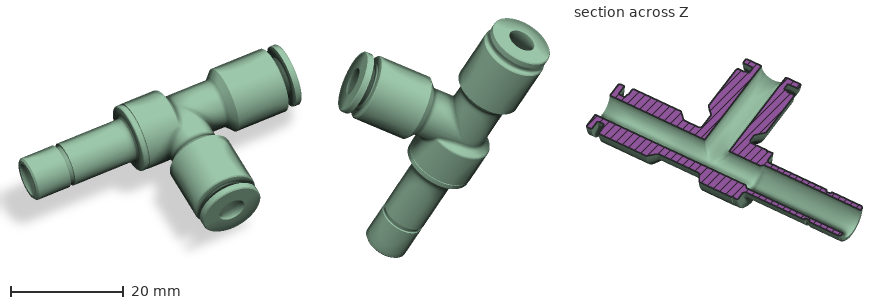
import cadquery as cq


ARM_LENGTH = 22.2
NECK_RADIUS = 4.5
ARM_BODY_RADIUS = 6.0
ARM_BODY_START = 9.5
ARM_BODY_END = 19.5
ARM_BODY_CHAMFER = 0.2
NECK_BLEND_RADIUS = 0.5
ARM_RIM_RADIUS = 4.5
ARM_RIM_END_RADIUS = 4.3
ARM_RIM_HEIGHT = 0.2
SLEEVE_RADIUS = 3.65
SLEEVE_BLEND_RADIUS = 0.2
FLANGE_RADIUS = 5.75
FLANGE_THICKNESS = 1.2
FLANGE_CHAMFER = 0.2

SOCKET_RADIUS = 6.25
SOCKET_CONE_START = 0.5
SOCKET_CONE_END = 1.5
SOCKET_END = 8.3
CAP_RADIUS = 6.2
CAP_START = 8.5
CAP_END = 9.5
CAP_CHAMFER = 0.15
CAP_GROOVE_RADIUS = 6.0
CAP_LIP_RADIUS = 4.35
CAP_LIP_HEIGHT = 0.3

STEM_RADIUS = 4.0
STEM_END = 29.5
STEM_CHAMFER = 0.35
STEM_GROOVE_RADIUS = 3.6
STEM_GROOVE_START = 22.0
STEM_GROOVE_WIDTH = 0.9

BORE_RADIUS = 2.5
STEM_BORE_RADIUS = 3.0

JUNCTION_FILLET = 0.5

SELECTOR_MARGIN = 0.05


def turned(points):
    """Solid turned about the Y axis from (radius, y) points; the axis closes the outline."""
    return cq.Workplane("XY").polyline(points).close().revolve(360, (0, 0, 0), (0, 1, 0))


def edges_at(radius, y):
    """Selector for the edges of a turned solid that lie at this place on Y, within this radius."""
    reach = radius + SELECTOR_MARGIN
    return cq.selectors.BoxSelector(
        (-reach, y - SELECTOR_MARGIN, -reach),
        (reach, y + SELECTOR_MARGIN, reach),
        boundingbox=True,
    )


def make_arm():
    """Push-in arm along +Y: neck, conical shoulder, body, rim and flanged release sleeve."""
    cone_start = ARM_BODY_START - (ARM_BODY_RADIUS - NECK_RADIUS)
    rim_end = ARM_BODY_END + ARM_RIM_HEIGHT
    flange_start = ARM_LENGTH - FLANGE_THICKNESS
    arm = turned([
        (0, 0),
        (NECK_RADIUS, 0),
        (NECK_RADIUS, cone_start),
        (ARM_BODY_RADIUS, ARM_BODY_START),
        (ARM_BODY_RADIUS, ARM_BODY_END - ARM_BODY_CHAMFER),
        (ARM_BODY_RADIUS - ARM_BODY_CHAMFER, ARM_BODY_END),
        (ARM_RIM_RADIUS, ARM_BODY_END),
        (ARM_RIM_END_RADIUS, rim_end),
        (SLEEVE_RADIUS, rim_end),
        (SLEEVE_RADIUS, flange_start),
        (FLANGE_RADIUS, flange_start),
        (FLANGE_RADIUS, ARM_LENGTH - FLANGE_CHAMFER),
        (FLANGE_RADIUS - FLANGE_CHAMFER, ARM_LENGTH),
        (0, ARM_LENGTH),
    ])
    arm = arm.edges(edges_at(NECK_RADIUS, cone_start)).fillet(NECK_BLEND_RADIUS)
    return arm.edges(edges_at(SLEEVE_RADIUS, flange_start)).fillet(SLEEVE_BLEND_RADIUS)


def make_socket():
    """Stem socket towards -Y: neck, conical shoulder and cylinder."""
    return turned([
        (0, 0),
        (NECK_RADIUS, 0),
        (NECK_RADIUS, -SOCKET_CONE_START),
        (SOCKET_RADIUS, -SOCKET_CONE_END),
        (SOCKET_RADIUS, -SOCKET_END),
        (0, -SOCKET_END),
    ])


def make_stem():
    """Socket cap with its lip, then the stem with its retaining groove."""
    groove_end = STEM_GROOVE_START + STEM_GROOVE_WIDTH
    return turned([
        (0, -SOCKET_END),
        (CAP_GROOVE_RADIUS, -SOCKET_END),
        (CAP_GROOVE_RADIUS, -CAP_START),
        (CAP_RADIUS, -CAP_START),
        (CAP_RADIUS, -CAP_END + CAP_CHAMFER),
        (CAP_RADIUS - CAP_CHAMFER, -CAP_END),
        (CAP_LIP_RADIUS, -CAP_END),
        (STEM_RADIUS, -CAP_END - CAP_LIP_HEIGHT),
        (STEM_RADIUS, -STEM_GROOVE_START),
        (STEM_GROOVE_RADIUS, -STEM_GROOVE_START),
        (STEM_GROOVE_RADIUS, -groove_end),
        (STEM_RADIUS, -groove_end),
        (STEM_RADIUS, -STEM_END + STEM_CHAMFER),
        (STEM_RADIUS - STEM_CHAMFER, -STEM_END),
        (0, -STEM_END),
    ])


def make_run_bore():
    """Passage through the run: the wider stem bore narrows through a cone to the plain bore."""
    cone_height = STEM_BORE_RADIUS - BORE_RADIUS
    return turned([
        (0, -STEM_END),
        (STEM_BORE_RADIUS, -STEM_END),
        (STEM_BORE_RADIUS, -CAP_END),
        (BORE_RADIUS, -CAP_END + cone_height),
        (BORE_RADIUS, ARM_LENGTH),
        (0, ARM_LENGTH),
    ])


def make_outside():
    """All outer shapes in one solid, with the edges where necks and socket meet rounded together."""
    run_arm = make_arm()
    branch_arm = run_arm.rotate((0, 0, 0), (0, 0, 1), -90)
    body = run_arm.union(make_socket()).union(branch_arm)
    reach = SOCKET_RADIUS + SELECTOR_MARGIN
    neck_reach = NECK_RADIUS + SELECTOR_MARGIN
    around_junction = cq.selectors.BoxSelector(
        (-reach, -neck_reach, -reach),
        (reach, neck_reach, reach),
        boundingbox=True,
    )
    return body.edges(around_junction).fillet(JUNCTION_FILLET).union(make_stem())


def make_branch_bore():
    """Plain passage from the branch mouth to the run."""
    return cq.Workplane("YZ").circle(BORE_RADIUS).extrude(ARM_LENGTH)


result = make_outside().cut(make_run_bore()).cut(make_branch_bore())